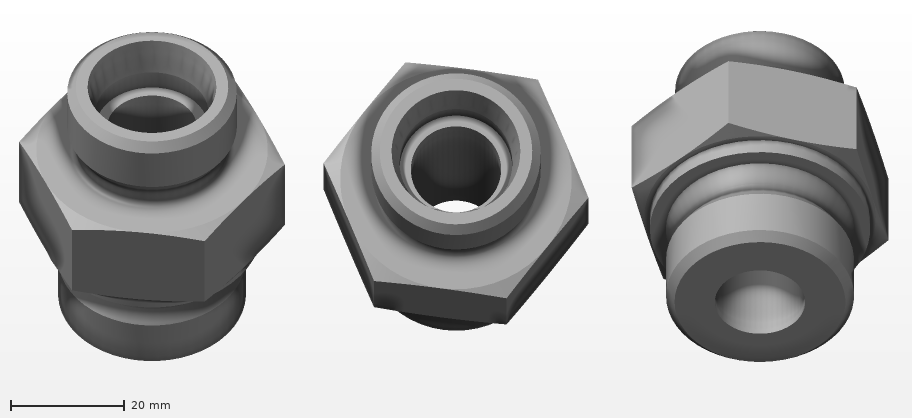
import cadquery as cq
import math

TOTAL_HEIGHT = 54.0

THREAD_CHAMFER = 1.5
RUNOUT_ANGLE = 30.0
GROOVE_ARC_RADIUS = 1.5

HEX_ACROSS_FLATS = 41.0
HEX_BOTTOM = 21.0
HEX_TOP = 38.0
HEX_CHAMFER_ANGLE = 15.0

LOWER_THREAD_RADIUS = 33.25 / 2
LOWER_THREAD_TOP = 10.55
COLLAR_RADIUS = 39.0 / 2
COLLAR_BOTTOM = 18.05
LOWER_GROOVE_RADIUS = 14.9
SEALING_TAPER_ANGLE = 25.0

UPPER_THREAD_RADIUS = 30.0 / 2
UPPER_THREAD_BOTTOM = 44.0
UNDERCUT_RADIUS = 27.0 / 2
UNDERCUT_FILLET = 1.1

BORE_RADIUS = 16.0 / 2
SOCKET_RADIUS = 20.0 / 2
SOCKET_DEPTH = 10.4
MOUTH_RADIUS = 11.4
MOUTH_HALF_ANGLE = 12.0


def revolve_profile(profile):
    """Turn a closed radius-height outline about the Z axis."""
    return profile.close().revolve(360, (0, 0, 0), (0, 1, 0))


def groove_arc_offset(angle):
    """Radial and axial distance from the groove waist to a point along its arc."""
    turn = math.radians(angle)
    return GROOVE_ARC_RADIUS * (1 - math.cos(turn)), GROOVE_ARC_RADIUS * math.sin(turn)


def runout_height(thread_radius, arc_end_radius):
    """Height of the conical runout between a thread and its groove arc."""
    return (thread_radius - arc_end_radius) / math.tan(math.radians(RUNOUT_ANGLE))


def make_lower_stud():
    runout_out, runout_down = groove_arc_offset(RUNOUT_ANGLE)
    taper_out, taper_up = groove_arc_offset(SEALING_TAPER_ANGLE)
    arc_start_radius = LOWER_GROOVE_RADIUS + runout_out
    arc_start = LOWER_THREAD_TOP + runout_height(LOWER_THREAD_RADIUS, arc_start_radius)
    waist = arc_start + runout_down
    arc_end_radius = LOWER_GROOVE_RADIUS + taper_out
    arc_end = waist + taper_up
    taper_slope = math.tan(math.radians(SEALING_TAPER_ANGLE))
    taper_top_radius = arc_end_radius + (COLLAR_BOTTOM - arc_end) * taper_slope
    return revolve_profile(
        cq.Workplane("XZ")
        .moveTo(0, 0)
        .lineTo(LOWER_THREAD_RADIUS - THREAD_CHAMFER, 0)
        .lineTo(LOWER_THREAD_RADIUS, THREAD_CHAMFER)
        .lineTo(LOWER_THREAD_RADIUS, LOWER_THREAD_TOP)
        .lineTo(arc_start_radius, arc_start)
        .threePointArc(
            (LOWER_GROOVE_RADIUS, waist),
            (arc_end_radius, arc_end),
        )
        .lineTo(taper_top_radius, COLLAR_BOTTOM)
        .lineTo(COLLAR_RADIUS, COLLAR_BOTTOM)
        .lineTo(COLLAR_RADIUS, HEX_BOTTOM)
        .lineTo(0, HEX_BOTTOM)
    )


def make_upper_stud():
    runout_out, runout_up = groove_arc_offset(RUNOUT_ANGLE)
    middle_out, middle_up = groove_arc_offset(RUNOUT_ANGLE / 2)
    arc_end_radius = UNDERCUT_RADIUS + runout_out
    arc_end = UPPER_THREAD_BOTTOM - runout_height(UPPER_THREAD_RADIUS, arc_end_radius)
    arc_start = arc_end - runout_up
    fillet_inset = UNDERCUT_FILLET * (1 - math.sqrt(0.5))
    return revolve_profile(
        cq.Workplane("XZ")
        .moveTo(0, HEX_TOP)
        .lineTo(UNDERCUT_RADIUS + UNDERCUT_FILLET, HEX_TOP)
        .threePointArc(
            (UNDERCUT_RADIUS + fillet_inset, HEX_TOP + fillet_inset),
            (UNDERCUT_RADIUS, HEX_TOP + UNDERCUT_FILLET),
        )
        .lineTo(UNDERCUT_RADIUS, arc_start)
        .threePointArc(
            (UNDERCUT_RADIUS + middle_out, arc_start + middle_up),
            (arc_end_radius, arc_end),
        )
        .lineTo(UPPER_THREAD_RADIUS, UPPER_THREAD_BOTTOM)
        .lineTo(UPPER_THREAD_RADIUS, TOTAL_HEIGHT - THREAD_CHAMFER)
        .lineTo(UPPER_THREAD_RADIUS - THREAD_CHAMFER, TOTAL_HEIGHT)
        .lineTo(0, TOTAL_HEIGHT)
    )


def make_hexagon():
    """Hexagon with corners on the Y axis, turned down conically at both ends."""
    flat_radius = HEX_ACROSS_FLATS / 2
    corner_radius = flat_radius / math.cos(math.pi / 6)
    chamfer_height = (corner_radius - flat_radius) * math.tan(math.radians(HEX_CHAMFER_ANGLE))
    prism = (
        cq.Workplane("XY", origin=(0, 0, HEX_BOTTOM))
        .polygon(6, 2 * corner_radius)
        .extrude(HEX_TOP - HEX_BOTTOM)
        .rotate((0, 0, 0), (0, 0, 1), 90)
    )
    envelope = revolve_profile(
        cq.Workplane("XZ")
        .moveTo(0, HEX_BOTTOM)
        .lineTo(flat_radius, HEX_BOTTOM)
        .lineTo(corner_radius, HEX_BOTTOM + chamfer_height)
        .lineTo(corner_radius, HEX_TOP - chamfer_height)
        .lineTo(flat_radius, HEX_TOP)
        .lineTo(0, HEX_TOP)
    )
    return prism.intersect(envelope)


def make_bore():
    """Through bore opening into a tube socket with a conical mouth."""
    mouth_depth = (MOUTH_RADIUS - SOCKET_RADIUS) / math.tan(math.radians(MOUTH_HALF_ANGLE))
    socket_floor = TOTAL_HEIGHT - SOCKET_DEPTH
    return revolve_profile(
        cq.Workplane("XZ")
        .moveTo(0, 0)
        .lineTo(BORE_RADIUS, 0)
        .lineTo(BORE_RADIUS, socket_floor)
        .lineTo(SOCKET_RADIUS, socket_floor)
        .lineTo(SOCKET_RADIUS, TOTAL_HEIGHT - mouth_depth)
        .lineTo(MOUTH_RADIUS, TOTAL_HEIGHT)
        .lineTo(0, TOTAL_HEIGHT)
    )


result = make_hexagon().union(make_lower_stud()).union(make_upper_stud()).cut(make_bore())